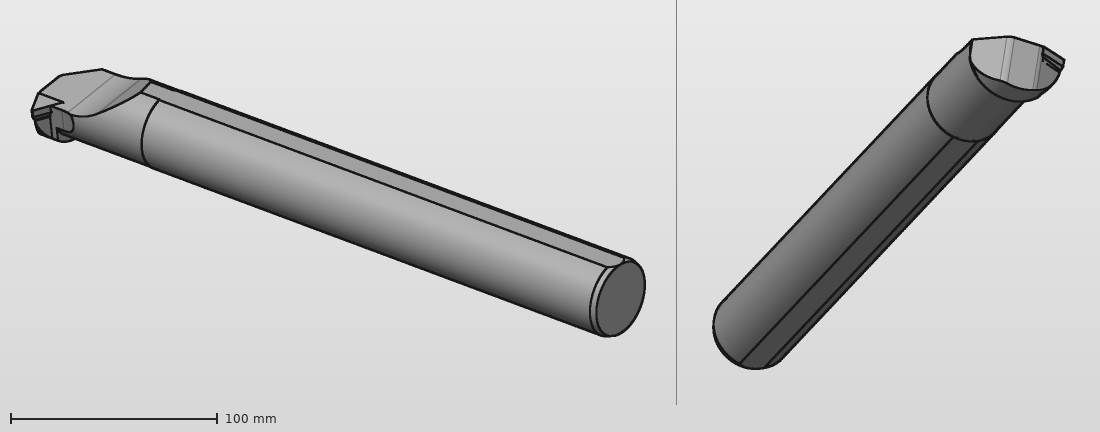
import cadquery as cq
import math

bar_length = 349.5
shank_diameter = 40.0
shank_radius = shank_diameter / 2
flat_height = 19.0
neck_diameter = 39.5
neck_radius = neck_diameter / 2
neck_end = 69.2
end_chamfer_length = 3.0
end_chamfer_depth = 1.0

head_length = 14.5
head_radius = 22.7
head_center_y = -2.5
head_bottom = -22.0
head_center_z = head_bottom + head_radius

rake_tilt = 8.5
rake_height = 4.5
runout_start = 22.7
runout_radius = 35.0
runout_angle = 31.0

chamfer_front_y = 5.0
chamfer_angle = 45.0
front_corner_radius = 5.0
side_wall_y = -18.0
side_wall_straight_end = 19.0
side_wall_end_radius = 21.0

insert_base_y = -12.5
insert_tip_y = -26.0
insert_base_length = 15.5
insert_tip_x = 6.5
insert_tip_width = 0.7
insert_rim_thickness = 4.0
insert_relief_thickness = 3.0
insert_relief_angle = 20.0
seat_inset = 1.0

clearance = 35.0


def tilted(shape):
    """Turn a shape from the frame of the rake face into the frame of the bar."""
    return shape.rotate((0, 0, 0), (1, 0, 0), rake_tilt)


def rod(radius, start, end, center_y=0.0, center_z=0.0):
    """Cylinder along X."""
    plane = cq.Workplane("YZ", origin=(start, center_y, center_z))
    return plane.circle(radius).extrude(end - start)


def flat_cutter(start, side):
    """Block whose inner face makes a flat above (side = 1) or below (side = -1) the axis."""
    block = cq.Workplane("XY").box(
        bar_length - start, 2 * clearance, clearance, centered=(False, True, False)
    )
    bottom = flat_height if side > 0 else -flat_height - clearance
    return block.translate((start, 0, bottom))


def make_shank():
    """Rear round bar with a conical end and two opposite flats."""
    profile = [
        (neck_end, 0),
        (neck_end, shank_radius),
        (bar_length - end_chamfer_length, shank_radius),
        (bar_length, shank_radius - end_chamfer_depth),
        (bar_length, 0),
    ]
    shank = cq.Workplane("XY").polyline(profile).close().revolve(360, (0, 0, 0), (1, 0, 0))
    for side in (1, -1):
        shank = shank.cut(flat_cutter(neck_end, side))
    return shank


def make_side_wall_cutter():
    """Flat relief along the side behind the insert, ending in a concave curve."""
    outer_y = side_wall_y - clearance
    end_x = side_wall_straight_end + side_wall_end_radius
    bend_x = side_wall_straight_end + side_wall_end_radius * math.sin(math.pi / 4)
    bend_y = side_wall_y - side_wall_end_radius * (1 - math.cos(math.pi / 4))
    cutter = (
        cq.Workplane("XY", origin=(0, 0, -clearance))
        .moveTo(head_length, outer_y)
        .lineTo(head_length, side_wall_y)
        .lineTo(side_wall_straight_end, side_wall_y)
        .threePointArc((bend_x, bend_y), (end_x, side_wall_y - side_wall_end_radius))
        .lineTo(end_x, outer_y)
        .close()
        .extrude(2 * clearance)
    )
    return tilted(cutter)


def make_neck():
    """Slightly thinner front bar with a flat on top and the relief on its side."""
    neck = rod(neck_radius, head_length, neck_end)
    return neck.cut(flat_cutter(head_length, 1)).cut(make_side_wall_cutter())


def make_head():
    """Head with a chamfered corner, rounded front edges and a nose that supports the insert."""
    chamfer_end_y = chamfer_front_y + head_length / math.tan(math.radians(chamfer_angle))
    insert_end_x = insert_base_length - seat_inset
    nose_front_y = insert_base_y + seat_inset
    nose_y = insert_tip_y + seat_inset
    nose_side_share = (side_wall_y - nose_y) / (insert_base_y - nose_y)
    nose_side_x = insert_tip_x + nose_side_share * (insert_end_x - insert_tip_x)
    outline = [
        (0, chamfer_front_y),
        (0, nose_front_y),
        (insert_tip_x, nose_y),
        (nose_side_x, side_wall_y),
        (head_length, side_wall_y),
        (head_length, chamfer_end_y),
    ]
    prism = cq.Workplane("XY", origin=(0, 0, -clearance)).polyline(outline).close()
    prism = prism.extrude(2 * clearance)
    for corner_y in (chamfer_front_y, nose_front_y):
        front_corner = cq.selectors.NearestToPointSelector((0, corner_y, 0))
        prism = prism.edges(front_corner).fillet(front_corner_radius)
    disc = rod(head_radius, 0, head_length, head_center_y, head_center_z)
    return tilted(prism).intersect(disc)


def make_rake_cutter():
    """Everything above the rake face and its run-out."""
    full = math.radians(runout_angle)
    half = full / 2
    arc_mid = (
        runout_start + runout_radius * math.sin(half),
        rake_height + runout_radius * (1 - math.cos(half)),
    )
    arc_end = (
        runout_start + runout_radius * math.sin(full),
        rake_height + runout_radius * (1 - math.cos(full)),
    )
    top_x = arc_end[0] + (clearance - arc_end[1]) / math.tan(full)
    cutter = (
        cq.Workplane("XZ")
        .moveTo(-clearance, rake_height)
        .lineTo(runout_start, rake_height)
        .threePointArc(arc_mid, arc_end)
        .lineTo(top_x, clearance)
        .lineTo(-clearance, clearance)
        .close()
        .extrude(clearance, both=True)
    )
    return tilted(cutter)


def make_insert():
    """Triangular insert with a blunt tip and a relieved lower part, flush with the rake face."""
    outline = [
        (0, insert_base_y),
        (insert_tip_x - insert_tip_width / 2, insert_tip_y),
        (insert_tip_x + insert_tip_width / 2, insert_tip_y),
        (insert_base_length, insert_base_y),
    ]
    rim_bottom = rake_height - insert_rim_thickness
    rim = cq.Workplane("XY", origin=(0, 0, rim_bottom)).polyline(outline).close()
    rim = rim.extrude(insert_rim_thickness)
    relief = rim.faces("<Z").wires().toPending().workplane()
    relief = relief.extrude(insert_relief_thickness, taper=insert_relief_angle, combine=False)
    return tilted(rim.union(relief))


insert = make_insert()
holder = make_shank().union(make_neck()).union(make_head())
holder = holder.cut(make_rake_cutter()).cut(insert)

result = cq.Compound.makeCompound([holder.solids().val(), insert.solids().val()])